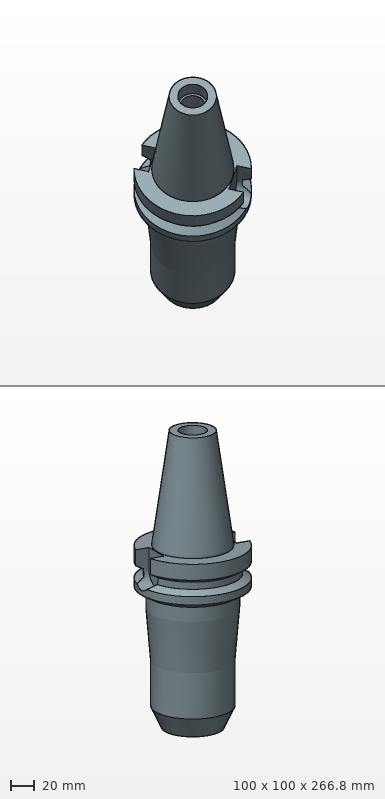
import cadquery as cq

total_length = 266.8

taper_small_diameter = 40.3
taper_large_diameter = 70.0
flange_diameter = 100.0
groove_diameter = 85.0
shoulder_diameter = 80.0
barrel_diameter = 72.0
nose_diameter = 54.0
bore_diameter = 20.8
counterbore_diameter = 25.0

taper_length = 102.0
neck_length = 1.5
counterbore_depth = 13.3
nose_chamfer_height = 19.2

upper_rim_end = 14.5
groove_floor_start = 18.7
groove_floor_end = 25.0
lower_rim_start = 29.0
lower_rim_end = 36.5
shoulder_start = 42.2
shoulder_end = 55.5
barrel_start = 103.0

slot_width = 25.5
slot_depth = 32.3
slot_floor_offset = 35.5

flange_top = total_length - taper_length - neck_length


def revolved_body():
    """Solid body made from (diameter, height) stations, nose to taper tip."""
    stations = [
        (nose_diameter, 0),
        (barrel_diameter, nose_chamfer_height),
        (barrel_diameter, flange_top - barrel_start),
        (shoulder_diameter, flange_top - shoulder_end),
        (shoulder_diameter, flange_top - shoulder_start),
        (flange_diameter, flange_top - lower_rim_end),
        (flange_diameter, flange_top - lower_rim_start),
        (groove_diameter, flange_top - groove_floor_end),
        (groove_diameter, flange_top - groove_floor_start),
        (flange_diameter, flange_top - upper_rim_end),
        (flange_diameter, flange_top),
        (taper_large_diameter, flange_top),
        (taper_large_diameter, flange_top + neck_length),
        (taper_small_diameter, total_length),
    ]
    outline = [(diameter / 2, height) for diameter, height in stations]
    profile = cq.Workplane("XZ").polyline([(0, 0)] + outline + [(0, total_length)]).close()
    return profile.revolve(360, (0, 0, 0), (0, 1, 0))


def drive_slot(side):
    """Round-bottomed slot cutter, open at the flange top; side is -1 or 1 along X."""
    radius = slot_width / 2
    slot_bottom = flange_top - slot_depth
    arc_center_height = slot_bottom + radius
    return (
        cq.Workplane("YZ", origin=(side * slot_floor_offset, 0, 0))
        .moveTo(-radius, flange_top)
        .lineTo(-radius, arc_center_height)
        .threePointArc((0, slot_bottom), (radius, arc_center_height))
        .lineTo(radius, flange_top)
        .close()
        .extrude(side * flange_diameter / 2)
    )


result = revolved_body()

result = result.faces(">Z").workplane().cboreHole(bore_diameter, counterbore_diameter, counterbore_depth)

for slot_side in (-1, 1):
    result = result.cut(drive_slot(slot_side))